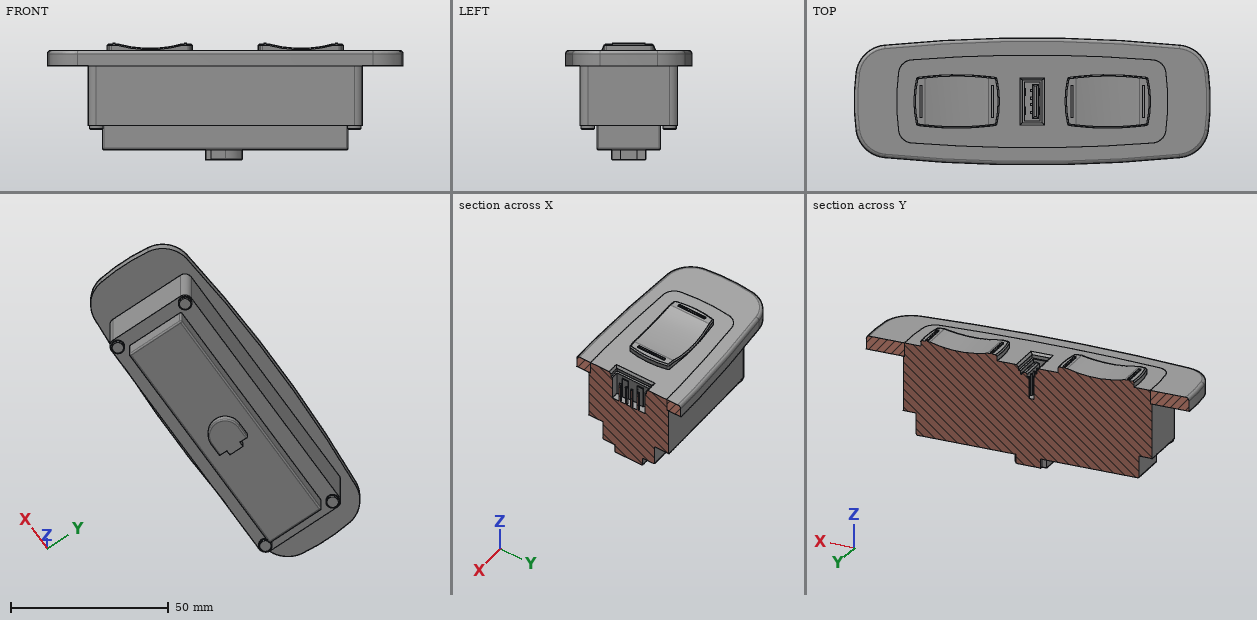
import cadquery as cq
import math

FUSE_OVERLAP = 0.6

BEZEL_LENGTH = 113.1
BEZEL_WIDTH = 40.4
BEZEL_THICKNESS = 4.9
BEZEL_CORNER_RADIUS = 10.2
BEZEL_TOP_FILLET = 1.1
SIDE_BOW_RADIUS = 513.6
END_BOW_RADIUS = 67.9

FACE_LENGTH = 86.1
FACE_WIDTH = 29.4
FACE_CORNER_RADIUS = 4.5

CASE_LENGTH = 87.1
CASE_WIDTH = 31.0
CASE_HEIGHT = 19.0
CASE_CORNER_RADIUS = 2.5
BASE_LENGTH = 78.1
BASE_WIDTH = 20.3
BASE_HEIGHT = 7.7
BASE_EDGE_FILLET = 0.6
CASE_BOTTOM = -CASE_HEIGHT
BASE_BOTTOM = CASE_BOTTOM - BASE_HEIGHT

SCREW_X = 41.0
SCREW_Y = 13.0
SCREW_DIAMETER = 4.3
SCREW_HEIGHT = 1.2
SCREW_CHAMFER = 0.3

PLUG_RADIUS = 5.4
PLUG_FLAT_X = -4.5
PLUG_KEY_X = -6.2
PLUG_KEY_WIDTH = 5.1
PLUG_HEIGHT = 3.2
PLUG_EDGE_FILLET = 0.5

ROCKER_X = 24.0
ROCKER_LENGTH = 27.2
ROCKER_WIDTH = 17.0
ROCKER_HEIGHT = 2.0
ROCKER_END_BULGE = 0.9
ROCKER_SIDE_BULGE = 0.9
ROCKER_CORNER_FILLET = 0.8
ROCKER_EDGE_CHAMFER = 0.5
DISH_LENGTH = 20.1
DISH_DEPTH = 1.4
MARKER_X = 11.3
MARKER_LENGTH = 10.2
MARKER_WIDTH = 0.7
MARKER_HEIGHT = 0.3

SOCKET_LENGTH = 6.3
SOCKET_WIDTH = 13.6
FLARE_INSET = 0.7
FLARE_DEPTH = 0.8
SOCKET_WALL_DEPTH = 1.1
SHELL_LENGTH = 4.9
SHELL_WIDTH = 12.5
SHELL_DEPTH = 9.0
RIM_Z = BEZEL_THICKNESS - FLARE_DEPTH - SOCKET_WALL_DEPTH
SHELL_FLOOR = RIM_Z - SHELL_DEPTH
TONGUE_X = 1.0
TONGUE_THICKNESS = 1.9
TONGUE_WIDTH = 10.9
TONGUE_CHAMFER = 0.6
TONGUE_SETBACK = 0.2
CONTACT_Y = (-3.5, -1.0, 1.0, 3.5)
CONTACT_WIDTH = 0.7
CONTACT_HEIGHT = 0.6
CONTACT_SETBACK = 1.7
SPRING_Y = 2.9
SPRING_WIDTH = 2.3
SPRING_HEIGHT = 0.3
SPRING_SETBACK = 1.1


def bow(radius, half_chord):
    """Rise of an arc of the given radius over its chord."""
    return radius - math.sqrt(radius ** 2 - half_chord ** 2)


def block(x_min, x_max, y_center, width, z_min, z_max):
    """Box given by its X and Z limits and its place and width along Y."""
    size = (x_max - x_min, width, z_max - z_min)
    center = ((x_min + x_max) / 2, y_center, (z_min + z_max) / 2)
    return cq.Workplane("XY").box(*size).translate(center)


def arc_sided_prism(length, width, end_bulge, side_bulge, z_min, height):
    """Upright prism with four outward arcs for sides; length and width include the bulges."""
    x_mid, y_mid = length / 2, width / 2
    x_corner, y_corner = x_mid - end_bulge, y_mid - side_bulge
    return (
        cq.Workplane("XY", origin=(0, 0, z_min))
        .moveTo(-x_corner, -y_corner)
        .threePointArc((0, -y_mid), (x_corner, -y_corner))
        .threePointArc((x_mid, 0), (x_corner, y_corner))
        .threePointArc((0, y_mid), (-x_corner, y_corner))
        .threePointArc((-x_mid, 0), (-x_corner, -y_corner))
        .close()
        .extrude(height)
    )


def bowed_plate(length, width, corner_radius):
    """Plate as thick as the bezel, with bowed sides and rounded corners."""
    side_bulge = bow(SIDE_BOW_RADIUS, length / 2)
    end_bulge = bow(END_BOW_RADIUS, width / 2 - side_bulge)
    plate = arc_sided_prism(length, width, end_bulge, side_bulge, 0, BEZEL_THICKNESS)
    return plate.edges("|Z").fillet(corner_radius)


def make_face_plate():
    return bowed_plate(FACE_LENGTH, FACE_WIDTH, FACE_CORNER_RADIUS)


def make_bezel():
    plate = bowed_plate(BEZEL_LENGTH, BEZEL_WIDTH, BEZEL_CORNER_RADIUS)
    plate = plate.faces(">Z").edges().fillet(BEZEL_TOP_FILLET)
    return plate.cut(make_face_plate())


def make_case():
    upper = (
        cq.Workplane("XY")
        .rect(CASE_LENGTH, CASE_WIDTH)
        .extrude(-CASE_HEIGHT)
        .edges("|Z")
        .fillet(CASE_CORNER_RADIUS)
    )
    base = (
        cq.Workplane("XY", origin=(0, 0, CASE_BOTTOM + FUSE_OVERLAP))
        .rect(BASE_LENGTH, BASE_WIDTH)
        .extrude(-BASE_HEIGHT - FUSE_OVERLAP)
        .edges("|Z or <Z")
        .fillet(BASE_EDGE_FILLET)
    )
    return upper.union(base)


def make_screw_heads():
    return (
        cq.Workplane("XY", origin=(0, 0, CASE_BOTTOM + FUSE_OVERLAP))
        .rect(2 * SCREW_X, 2 * SCREW_Y, forConstruction=True)
        .vertices()
        .circle(SCREW_DIAMETER / 2)
        .extrude(-SCREW_HEIGHT - FUSE_OVERLAP)
        .faces("<Z")
        .edges()
        .chamfer(SCREW_CHAMFER)
    )


def make_plug():
    plug_bottom = BASE_BOTTOM - PLUG_HEIGHT
    plug_top = BASE_BOTTOM + FUSE_OVERLAP
    body = (
        cq.Workplane("XY", origin=(0, 0, plug_bottom))
        .moveTo(PLUG_FLAT_X, -PLUG_RADIUS)
        .lineTo(0, -PLUG_RADIUS)
        .threePointArc((PLUG_RADIUS, 0), (0, PLUG_RADIUS))
        .lineTo(PLUG_FLAT_X, PLUG_RADIUS)
        .close()
        .extrude(plug_top - plug_bottom)
    )
    body = body.faces("<Z").edges("not <X").fillet(PLUG_EDGE_FILLET)
    return body.union(block(PLUG_KEY_X, 0, 0, PLUG_KEY_WIDTH, plug_bottom, plug_top))


def make_rocker():
    rocker_top = BEZEL_THICKNESS + ROCKER_HEIGHT
    rocker = arc_sided_prism(
        ROCKER_LENGTH, ROCKER_WIDTH, ROCKER_END_BULGE, ROCKER_SIDE_BULGE,
        BEZEL_THICKNESS - FUSE_OVERLAP, ROCKER_HEIGHT + FUSE_OVERLAP,
    )
    rocker = rocker.edges("|Z").fillet(ROCKER_CORNER_FILLET)
    dish_radius = ((DISH_LENGTH / 2) ** 2 + DISH_DEPTH ** 2) / (2 * DISH_DEPTH)
    dish = (
        cq.Workplane("XZ")
        .center(0, rocker_top - DISH_DEPTH + dish_radius)
        .circle(dish_radius)
        .extrude(ROCKER_WIDTH, both=True)
    )
    rocker = rocker.cut(dish)
    rim_box = cq.selectors.BoxSelector(
        (-ROCKER_LENGTH, -ROCKER_WIDTH, BEZEL_THICKNESS),
        (ROCKER_LENGTH, ROCKER_WIDTH, rocker_top + FUSE_OVERLAP),
    )
    rim = rocker.edges("(not |Z) and (not |Y)").edges(rim_box)
    rocker = rim.chamfer(ROCKER_EDGE_CHAMFER)
    for side in (-1, 1):
        x_center = side * MARKER_X
        marker = block(
            x_center - MARKER_WIDTH / 2, x_center + MARKER_WIDTH / 2, 0, MARKER_LENGTH,
            rocker_top - FUSE_OVERLAP, rocker_top + MARKER_HEIGHT,
        )
        rocker = rocker.union(marker)
    return rocker


def cut_socket(module):
    flare = (
        cq.Workplane("XY", origin=(0, 0, BEZEL_THICKNESS))
        .rect(SOCKET_LENGTH + 2 * FLARE_INSET, SOCKET_WIDTH + 2 * FLARE_INSET)
        .workplane(offset=-FLARE_DEPTH)
        .rect(SOCKET_LENGTH, SOCKET_WIDTH)
        .loft(ruled=True)
    )
    mouth_x, shell_x = SOCKET_LENGTH / 2, SHELL_LENGTH / 2
    mouth = block(-mouth_x, mouth_x, 0, SOCKET_WIDTH, RIM_Z, BEZEL_THICKNESS - FLARE_DEPTH)
    shell = block(-shell_x, shell_x, 0, SHELL_WIDTH, SHELL_FLOOR, RIM_Z)
    return module.cut(flare).cut(mouth).cut(shell)


def make_tongue():
    root_z = SHELL_FLOOR - FUSE_OVERLAP
    x_min, x_max = TONGUE_X - TONGUE_THICKNESS / 2, TONGUE_X + TONGUE_THICKNESS / 2
    tongue = block(x_min, x_max, 0, TONGUE_WIDTH, root_z, RIM_Z - TONGUE_SETBACK)
    tongue = tongue.faces(">Z").edges().chamfer(TONGUE_CHAMFER)
    for y in CONTACT_Y:
        contact = block(x_min - CONTACT_HEIGHT, TONGUE_X, y, CONTACT_WIDTH, root_z, RIM_Z - CONTACT_SETBACK)
        tongue = tongue.union(contact)
    return tongue


def add_shell_springs(module):
    shell_x = SHELL_LENGTH / 2
    for side in (-1, 1):
        x_limits = sorted((side * (shell_x - SPRING_HEIGHT), side * (shell_x + FUSE_OVERLAP)))
        for y in (-SPRING_Y, SPRING_Y):
            spring = block(*x_limits, y, SPRING_WIDTH, SHELL_FLOOR, RIM_Z - SPRING_SETBACK)
            module = module.union(spring)
    return module


def make_module():
    module = make_face_plate().union(make_case()).union(make_screw_heads()).union(make_plug())
    rocker = make_rocker()
    for x in (-ROCKER_X, ROCKER_X):
        module = module.union(rocker.translate((x, 0, 0)))
    module = cut_socket(module).union(make_tongue())
    return add_shell_springs(module)


bezel = make_bezel().solids()
module = make_module().solids()
result = cq.Compound.makeCompound([bezel.val(), module.val()])